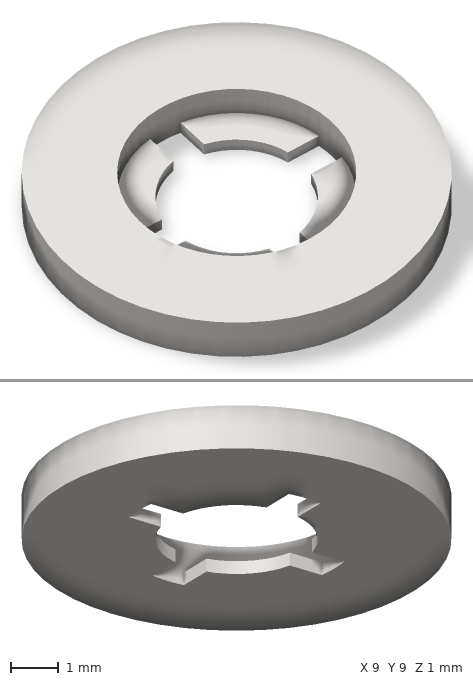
import cadquery as cq

outer_diameter = 9.0
thickness = 1.0
bore_diameter = 5.0
tab_inner_diameter = 3.4
slot_width = 0.8
tab_thickness = 0.3


def make_ring(outer, inner, height):
    """Flat ring centred on Z, rising from the bottom face."""
    return (
        cq.Workplane("XY")
        .circle(outer / 2)
        .circle(inner / 2)
        .extrude(height)
    )


def make_tabs():
    """Thin ring cut into four tabs, overlapping the body for a sound joint."""
    joint_diameter = (outer_diameter + bore_diameter) / 2
    tabs = make_ring(joint_diameter, tab_inner_diameter, tab_thickness)
    slot_height = 2 * thickness
    for length_x, length_y in (
        (outer_diameter, slot_width),
        (slot_width, outer_diameter),
    ):
        tabs = tabs.cut(cq.Workplane("XY").box(length_x, length_y, slot_height))
    return tabs


body = make_ring(outer_diameter, bore_diameter, thickness)
result = body.union(make_tabs())